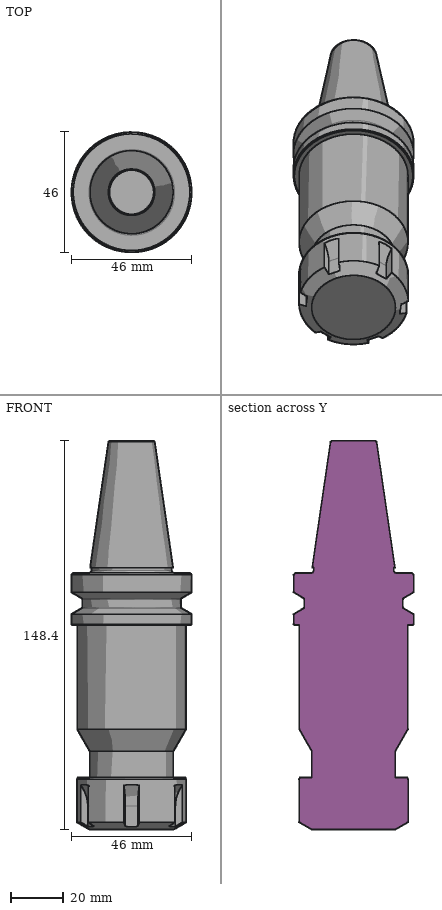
import cadquery as cq
import math


taper_length = 48.4
gauge_diameter = 31.75
taper_ratio = 7 / 24
taper_end_diameter = gauge_diameter - taper_ratio * taper_length
taper_end_chamfer = 0.4

relief_diameter = 30.7
relief_fillet_radius = 1.0

flange_diameter = 45.98
flange_top = -2.0
flange_bottom = -22.0
flange_top_chamfer = 0.75
flange_bottom_chamfer = 0.4
groove_diameter = 37.75
groove_center = -13.6
groove_floor_width = 3.5
groove_flank_angle = 30.0
groove_fillet_radius = 0.5

body_diameter = 41.6
body_end = -61.7
neck_diameter = 32.0
neck_start = -70.1

nut_diameter = 41.8
nut_top = -80.0
nut_bottom = -100.0
nut_top_chamfer_width = 0.4
nut_top_chamfer_height = 0.8
nut_face_diameter = 32.0
nut_face_cone_angle = 30.0

slot_count = 6
slot_mouth_width = 6.0
slot_draft_angle = 13.0
slot_floor_radius = 18.0
slot_top = -82.8
slot_runout_start = -90.9
slot_clearance = 2.0

match_tolerance = 0.001


def turned_blank():
    """Revolve the half section of the whole holder."""
    taper_end_radius = taper_end_diameter / 2
    flange_radius = flange_diameter / 2
    groove_radius = groove_diameter / 2
    nut_radius = nut_diameter / 2
    flank_height = (flange_radius - groove_radius) * math.tan(math.radians(groove_flank_angle))
    groove_floor_top = groove_center + groove_floor_width / 2
    groove_floor_bottom = groove_center - groove_floor_width / 2
    nut_cone_height = (nut_diameter - nut_face_diameter) / 2 * math.tan(math.radians(nut_face_cone_angle))

    chamfer_foot_radius = taper_end_radius + taper_ratio / 2 * taper_end_chamfer

    section = [
        (0, taper_length),
        (taper_end_radius - taper_end_chamfer, taper_length),
        (chamfer_foot_radius, taper_length - taper_end_chamfer),
        (gauge_diameter / 2, 0),
        (relief_diameter / 2, 0),
        (relief_diameter / 2, flange_top),
        (flange_radius - flange_top_chamfer, flange_top),
        (flange_radius, flange_top - flange_top_chamfer),
        (flange_radius, groove_floor_top + flank_height),
        (groove_radius, groove_floor_top),
        (groove_radius, groove_floor_bottom),
        (flange_radius, groove_floor_bottom - flank_height),
        (flange_radius, flange_bottom + flange_bottom_chamfer),
        (flange_radius - flange_bottom_chamfer, flange_bottom),
        (body_diameter / 2, flange_bottom),
        (body_diameter / 2, body_end),
        (neck_diameter / 2, neck_start),
        (neck_diameter / 2, nut_top),
        (nut_radius - nut_top_chamfer_width, nut_top),
        (nut_radius, nut_top - nut_top_chamfer_height),
        (nut_radius, nut_bottom + nut_cone_height),
        (nut_face_diameter / 2, nut_bottom),
        (0, nut_bottom),
    ]
    return cq.Workplane("XZ").polyline(section).close().revolve(360, (0, 0, 0), (0, 1, 0))


def fillet_corners(holder):
    """Round the two groove floor corners and the corner where the relief meets the flange."""

    def is_groove_corner(edge):
        return abs(edge.radius() - groove_diameter / 2) < match_tolerance

    def is_relief_corner(edge):
        on_radius = abs(edge.radius() - relief_diameter / 2) < match_tolerance
        return on_radius and abs(edge.Center().z - flange_top) < match_tolerance

    holder = holder.edges("%CIRCLE").filter(is_groove_corner).fillet(groove_fillet_radius)
    return holder.edges("%CIRCLE").filter(is_relief_corner).fillet(relief_fillet_radius)


def slot_cutter():
    """Spanner slot facing +X: drafted side walls, and a floor that curves out to the nut surface."""
    mouth_radius = nut_diameter / 2
    outer_radius = mouth_radius + slot_clearance
    open_end = nut_bottom - slot_clearance
    draft_slope = math.tan(math.radians(slot_draft_angle))
    floor_half_width = slot_mouth_width / 2 - (mouth_radius - slot_floor_radius) * draft_slope
    outer_half_width = slot_mouth_width / 2 + slot_clearance * draft_slope

    runout_depth = mouth_radius - slot_floor_radius
    runout_height = slot_top - slot_runout_start
    runout_radius = (runout_height**2 + runout_depth**2) / (2 * runout_depth)
    half_turn = math.asin(runout_height / runout_radius) / 2
    runout_middle = (
        slot_floor_radius + runout_radius * (1 - math.cos(half_turn)),
        slot_runout_start + runout_radius * math.sin(half_turn),
    )

    side_profile = (
        cq.Workplane("XZ")
        .moveTo(slot_floor_radius, open_end)
        .lineTo(slot_floor_radius, slot_runout_start)
        .threePointArc(runout_middle, (mouth_radius, slot_top))
        .lineTo(outer_radius, slot_top)
        .lineTo(outer_radius, open_end)
        .close()
        .extrude(outer_half_width, both=True)
    )
    drafted_walls = (
        cq.Workplane("XY", origin=(0, 0, open_end))
        .polyline([
            (slot_floor_radius, -floor_half_width),
            (outer_radius, -outer_half_width),
            (outer_radius, outer_half_width),
            (slot_floor_radius, floor_half_width),
        ])
        .close()
        .extrude(slot_top - open_end)
    )
    return side_profile.intersect(drafted_walls)


def cut_spanner_slots(holder):
    """Cut the evenly spaced spanner slots, one of them facing -Y."""
    cutter = slot_cutter()
    for index in range(slot_count):
        angle = -90 + index * 360 / slot_count
        holder = holder.cut(cutter.rotate((0, 0, 0), (0, 0, 1), angle))
    return holder


result = cut_spanner_slots(fillet_corners(turned_blank()))